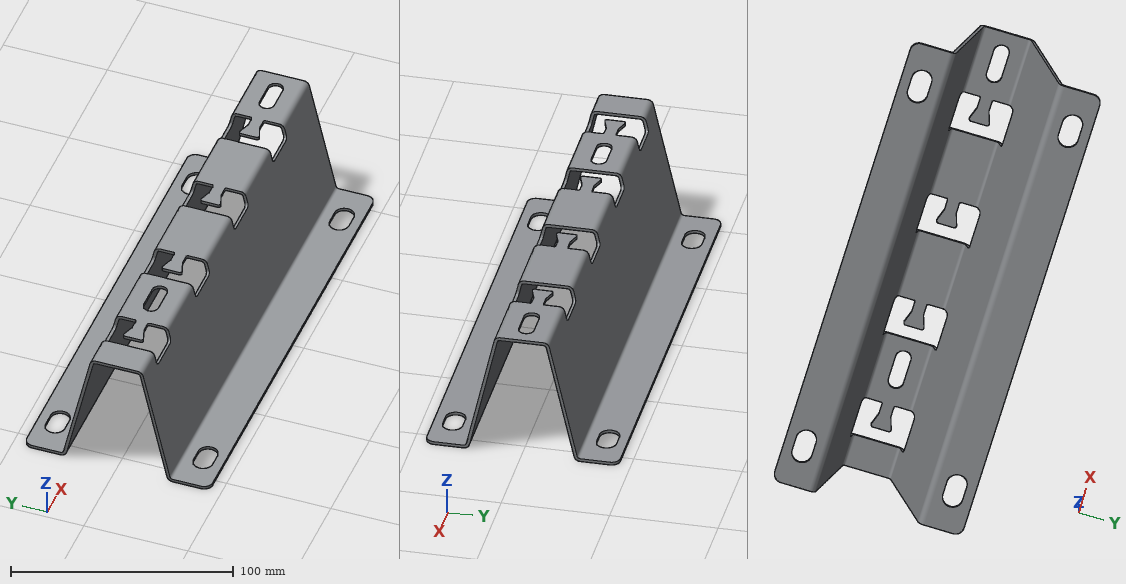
import cadquery as cq
import math

length = 215.0
width = 89.2
height = 60.5
sheet = 1.5
inner_bend_radius = 1.5
outer_bend_radius = inner_bend_radius + sheet

crown_half_width = 12.3
foot_half_width = 25.8
bend_angle = math.atan2(height - sheet, foot_half_width - crown_half_width)
flange_corner_radius = 4.0

window_count = 4
first_window_start = 15.0
last_window_start = 165.0
window_pitch = (last_window_start - first_window_start) / (window_count - 1)
window_length = 18.0
window_depth = 7.5
window_corner_radius = 2.0
notch_cutter_depth = sheet + inner_bend_radius
tab_gap = 5.8
tab_neck_length = 5.4
tab_tip_half_width = 5.2
tab_neck_half_width = 2.8
tab_tip_radius = 1.0
tab_root_radius = 0.9

crown_slot_length = 18.0
crown_slot_width = 7.0
crown_slot_places = [50.0, 200.0]
flange_slot_length = 15.5
flange_slot_width = 9.2
flange_slot_end_distance = 19.4
flange_slot_offset = 35.5


def fillet_bends(body, half_width, z, radius):
    """Round the two mirrored lengthwise edges at y = +/- half_width."""
    for y in (half_width, -half_width):
        edge = cq.selectors.NearestToPointSelector((length / 2, y, z))
        body = body.edges("|X").edges(edge).fillet(radius)
    return body


def make_hat():
    """Constant-thickness hat section with rounded bends and flange corners."""
    rise = height - sheet
    corner_shift = sheet * math.tan(bend_angle / 2)
    crown_inner = crown_half_width - corner_shift
    foot_inner = foot_half_width - corner_shift

    half = [
        (width / 2, 0),
        (width / 2, sheet),
        (foot_half_width, sheet),
        (crown_half_width, height),
    ]
    inner_half = [(crown_inner, rise), (foot_inner, 0)]
    outer_mirror = [(-y, z) for y, z in reversed(half)]
    inner_mirror = [(-y, z) for y, z in reversed(inner_half)]
    outline = half + outer_mirror + inner_mirror + inner_half
    body = cq.Workplane("YZ").polyline(outline).close().extrude(length)

    body = fillet_bends(body, crown_half_width, height, outer_bend_radius)
    body = fillet_bends(body, crown_inner, rise, inner_bend_radius)
    body = fillet_bends(body, foot_half_width, sheet, inner_bend_radius)
    body = fillet_bends(body, foot_inner, 0, outer_bend_radius)

    footprint = (
        cq.Workplane("XY")
        .center(length / 2, 0)
        .rect(length, width)
        .extrude(height)
        .edges("|Z")
        .fillet(flange_corner_radius)
    )
    return body.intersect(footprint)


def make_wall_notch(start):
    """Notch cutter square to the front wall, with rounded lower corners."""
    drop = window_depth / math.tan(bend_angle)
    slab = (
        cq.Workplane("XY", origin=(0, 0, -notch_cutter_depth))
        .rect(window_length, window_depth / math.sin(bend_angle), centered=False)
        .extrude(notch_cutter_depth)
        .edges("|Z and <Y")
        .fillet(window_corner_radius)
    )
    return slab.rotate((0, 0, 0), (1, 0, 0), math.degrees(bend_angle)).translate(
        (start, -crown_half_width - drop, height - window_depth)
    )


def make_window(start):
    """Window cutter: crown opening around a flared tab, plus a notch in each wall."""
    end = start + window_length
    underside = height - sheet
    opening = (
        cq.Workplane("XY")
        .box(window_length, 2 * crown_half_width, sheet, centered=(False, True, False))
        .translate((start, 0, underside))
    )
    tip = start + tab_gap
    neck = end - tab_neck_length
    tab = (
        cq.Workplane("XY", origin=(0, 0, underside))
        .moveTo(tip, tab_tip_half_width)
        .lineTo(neck, tab_neck_half_width)
        .lineTo(end - tab_root_radius, tab_neck_half_width)
        .radiusArc((end, tab_neck_half_width + tab_root_radius), -tab_root_radius)
        .lineTo(end, -tab_neck_half_width - tab_root_radius)
        .radiusArc((end - tab_root_radius, -tab_neck_half_width), -tab_root_radius)
        .lineTo(neck, -tab_neck_half_width)
        .lineTo(tip, -tab_tip_half_width)
        .close()
        .extrude(sheet)
        .edges("|Z and <X")
        .fillet(tab_tip_radius)
    )
    front_notch = make_wall_notch(start)
    rear_notch = front_notch.mirror("XZ")
    return opening.cut(tab).union(front_notch).union(rear_notch)


def make_slots(places, slot_length, slot_width, base):
    """Upright round-ended slot cutters one sheet thick, along X."""
    return (
        cq.Workplane("XY", origin=(0, 0, base))
        .pushPoints(places)
        .slot2D(slot_length, slot_width)
        .extrude(sheet)
    )


result = make_hat()

for index in range(window_count):
    result = result.cut(make_window(first_window_start + index * window_pitch))

crown_places = [(x, 0) for x in crown_slot_places]
result = result.cut(make_slots(crown_places, crown_slot_length, crown_slot_width, height - sheet))

flange_places = [
    (x, y)
    for x in (flange_slot_end_distance, length - flange_slot_end_distance)
    for y in (flange_slot_offset, -flange_slot_offset)
]
result = result.cut(make_slots(flange_places, flange_slot_length, flange_slot_width, 0))